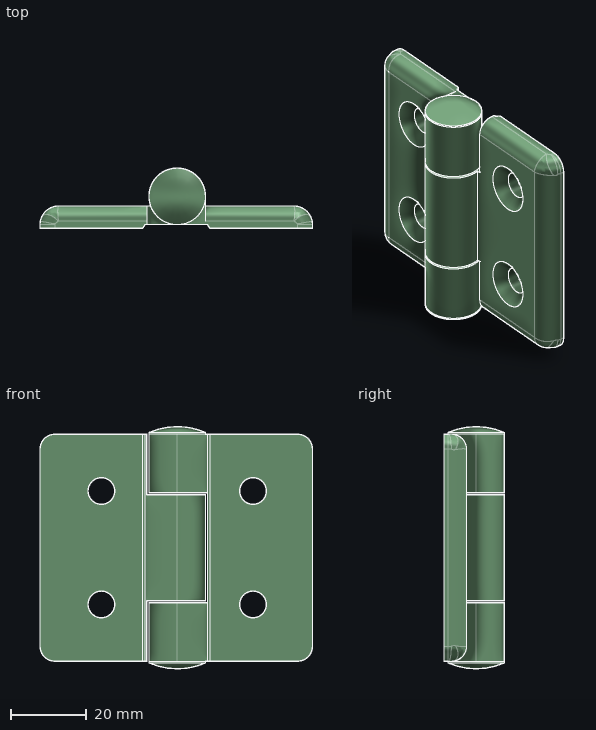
import cadquery as cq

span = 72.0
leaf_height = 60.0
leaf_thickness = 6.0
outer_x = span / 2
half_height = leaf_height / 2

side_round = 5.0
end_round = 4.0
corner_round = 3.95

knuckle_radius = 7.5
setback = 1.0
axis_x = 0.25
axis_y = setback + knuckle_radius
gap = 0.5
center_length = 28.0
center_half = center_length / 2
end_start = center_half + gap
end_length = half_height - end_start

inner_x = axis_x + knuckle_radius
clear_x = inner_x + gap
bevel_x = 8.85

hole_diameter = 7.0
sink_depth = 2.9
sink_half_angle = 45
hole_offset = 20.0
hole_z = 15.0

cap_height = 2.0
cap_rim = 0.4


def box(x_min, x_max, y_min, y_max, z_min, z_max):
    """Box given by its limits on each axis."""
    size = (x_max - x_min, y_max - y_min, z_max - z_min)
    return cq.Workplane("XY").box(*size, centered=False).translate((x_min, y_min, z_min))


def rounded_plate():
    """Right-hand plate, bevelled at its inner front edge and rounded at the back."""
    side_profile = (
        cq.Workplane("XY", origin=(0, 0, -half_height))
        .moveTo(inner_x, setback)
        .lineTo(clear_x, setback)
        .lineTo(bevel_x, 0)
        .lineTo(outer_x, 0)
        .lineTo(outer_x, leaf_thickness - side_round)
        .radiusArc((outer_x - side_round, leaf_thickness), -side_round)
        .lineTo(inner_x, leaf_thickness)
        .close()
        .extrude(leaf_height)
    )
    end_profile = (
        cq.Workplane("YZ")
        .moveTo(0, -half_height)
        .lineTo(leaf_thickness - end_round, -half_height)
        .radiusArc((leaf_thickness, end_round - half_height), -end_round)
        .lineTo(leaf_thickness, half_height - end_round)
        .radiusArc((leaf_thickness - end_round, half_height), -end_round)
        .lineTo(0, half_height)
        .close()
        .extrude(span)
    )
    plate = side_profile.intersect(end_profile)
    return round_corners(plate)


def round_corners(plate):
    """Round the two outer corners along the front uprights and the mitres that continue them."""
    corner_zone = cq.selectors.BoxSelector(
        (outer_x - side_round, -leaf_thickness, -span),
        (span, leaf_thickness, span),
    )
    corner_edges = [
        edge for edge in plate.edges(corner_zone).vals()
        if edge.Length() < 2 * leaf_thickness
    ]
    return plate.newObject(corner_edges).fillet(corner_round)


def screw_holes(side):
    """Cutters for the two countersunk holes on one side (+1 right, -1 left)."""
    hole_x = axis_x + side * hole_offset
    centers = [(hole_x, -hole_z), (hole_x, hole_z)]
    drills = (
        cq.Workplane("XZ")
        .pushPoints(centers)
        .circle(hole_diameter / 2)
        .extrude(-leaf_thickness)
    )
    sinks = (
        cq.Workplane("XZ", origin=(0, leaf_thickness - sink_depth, 0))
        .pushPoints(centers)
        .circle(hole_diameter / 2)
        .extrude(-sink_depth, taper=-sink_half_angle)
    )
    return drills.union(sinks)


def barrel(z_min, length):
    """Round knuckle on the hinge axis."""
    return (
        cq.Workplane("XY", origin=(axis_x, axis_y, z_min))
        .circle(knuckle_radius)
        .extrude(length)
    )


def make_right_leaf():
    """Leaf with the two end knuckles and a clearance for the center knuckle."""
    clearance = box(0, clear_x, 0, leaf_thickness, -end_start, end_start)
    leaf = rounded_plate().cut(clearance).cut(screw_holes(1))
    for z_min in (-half_height, end_start):
        web = box(axis_x, inner_x, setback, axis_y, z_min, z_min + end_length)
        leaf = leaf.union(barrel(z_min, end_length)).union(web)
    return leaf


def make_left_leaf():
    """Leaf with the single center knuckle."""
    web = box(-inner_x, axis_x, setback, leaf_thickness, -center_half, center_half)
    leaf = rounded_plate().mirror("YZ").cut(screw_holes(-1))
    return leaf.union(web).union(barrel(-center_half, center_length))


def make_cap(side):
    """Domed cap closing one end of the hinge (+1 top, -1 bottom)."""
    dome_rise = cap_height - cap_rim
    dome_radius = (knuckle_radius**2 + dome_rise**2) / (2 * dome_rise)
    cap = (
        cq.Workplane("XZ")
        .lineTo(knuckle_radius, 0)
        .lineTo(knuckle_radius, cap_rim)
        .radiusArc((0, cap_height), -dome_radius)
        .close()
        .revolve(360, (0, 0, 0), (0, 1, 0))
    )
    if side < 0:
        cap = cap.mirror("XY")
    return cap.translate((axis_x, axis_y, side * half_height))


right_leaf = make_right_leaf()
left_leaf = make_left_leaf()
caps = [make_cap(side) for side in (-1, 1)]

result = cq.Compound.makeCompound([right_leaf.val(), left_leaf.val(), *[cap.val() for cap in caps]])